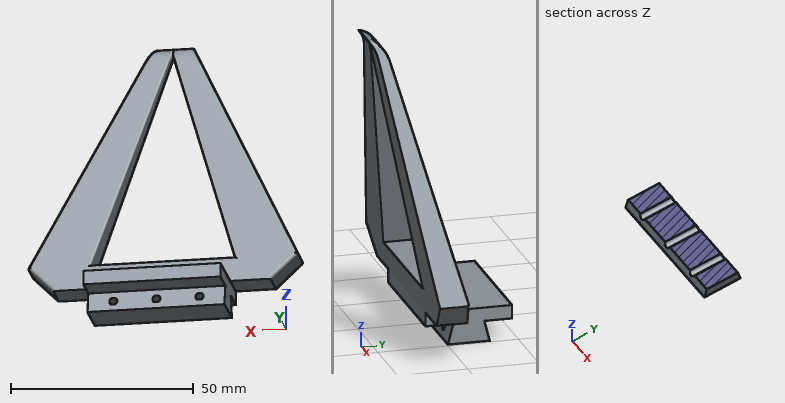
import cadquery as cq

base_width = 38.1
base_depth = 24.6
plate_thickness = 3.9
rail_height = 5.9
rail_top_depth = 8.85
rail_bottom_depth = 11.9
base_top = rail_height + plate_thickness
rail_center_y = base_depth / 2

hole_diameter = 2.1
hole_spacing = 12.0

total_height = 85.05
total_depth = 36.9
frame_width = 75.0
frame_bottom_width = 60.4
tip_width = 10.4
shoulder_z = 17.3
opening_width = 40.0
opening_top = 82.2

back_bottom_y = 9.1
back_curl_y = -6.8
back_curl_z = 79.4
front_curl_y = -10.1
front_curl_z = 80.1
tip_y = base_depth - total_depth
tip_thickness = 0.2

outer_edge_radius = 0.85
opening_edge_radius = 0.5


def make_base():
    plate = (
        cq.Workplane("XY")
        .workplane(offset=rail_height)
        .center(0, rail_center_y)
        .rect(base_width, base_depth)
        .extrude(plate_thickness)
    )
    rail = (
        cq.Workplane("YZ")
        .polyline([
            (rail_center_y - rail_bottom_depth / 2, 0),
            (rail_center_y + rail_bottom_depth / 2, 0),
            (rail_center_y + rail_top_depth / 2, rail_height),
            (rail_center_y - rail_top_depth / 2, rail_height),
        ])
        .close()
        .extrude(base_width / 2, both=True)
    )
    holes = (
        cq.Workplane("XZ")
        .pushPoints([(i * hole_spacing, rail_height / 2) for i in (-1, 0, 1)])
        .circle(hole_diameter / 2)
        .extrude(-base_depth)
    )
    return plate.union(rail.cut(holes))


def arc_middle(start, tangent, end):
    """Middle point of the arc leaving start along tangent and reaching end."""
    chord = end - start
    direction = tangent.normalized()
    bisector = (direction + chord.normalized()).normalized()
    return start + bisector * (chord.Length / 2 / bisector.dot(chord.normalized()))


def make_leaning_slab():
    back_flank = cq.Vector(back_curl_y - back_bottom_y, back_curl_z - base_top)
    front_flank = cq.Vector(front_curl_y, front_curl_z - base_top)
    back_curl = cq.Vector(back_curl_y, back_curl_z)
    front_curl = cq.Vector(front_curl_y, front_curl_z)
    tip_top = cq.Vector(tip_y, total_height)
    tip_bottom = cq.Vector(tip_y, total_height - tip_thickness)
    back_middle = arc_middle(back_curl, back_flank, tip_top)
    front_middle = arc_middle(front_curl, front_flank, tip_bottom)
    return (
        cq.Workplane("YZ")
        .moveTo(0, base_top)
        .lineTo(back_bottom_y, base_top)
        .lineTo(back_curl_y, back_curl_z)
        .threePointArc((back_middle.x, back_middle.y), (tip_y, total_height))
        .lineTo(tip_y, total_height - tip_thickness)
        .threePointArc((front_middle.x, front_middle.y), (front_curl_y, front_curl_z))
        .close()
        .extrude(frame_width / 2, both=True)
    )


def prism_along_y(points):
    """Prism with an XZ outline, long enough to span the whole part."""
    return cq.Workplane("XZ").polyline(points).close().extrude(base_depth, both=True)


def make_frame():
    outline = prism_along_y([
        (-frame_bottom_width / 2, base_top),
        (frame_bottom_width / 2, base_top),
        (frame_width / 2, shoulder_z),
        (tip_width / 2, total_height),
        (-tip_width / 2, total_height),
        (-frame_width / 2, shoulder_z),
    ])
    opening = prism_along_y([
        (-opening_width / 2, shoulder_z),
        (opening_width / 2, shoulder_z),
        (0, opening_top),
    ])
    frame = make_leaning_slab().intersect(outline)

    behind = cq.selectors.BoxSelector(
        (-frame_width, 0, 0), (frame_width, base_depth, total_height)
    )
    frame = frame.edges("(not |X) and (not |Y)").edges(behind).fillet(outer_edge_radius)

    frame = frame.cut(opening)
    opening_reach = opening_width / 3
    around_opening = cq.selectors.BoxSelector(
        (-opening_reach, 0, shoulder_z - outer_edge_radius),
        (opening_reach, base_depth, back_curl_z),
    )
    return frame.edges(around_opening).fillet(opening_edge_radius)


result = make_base().union(make_frame())